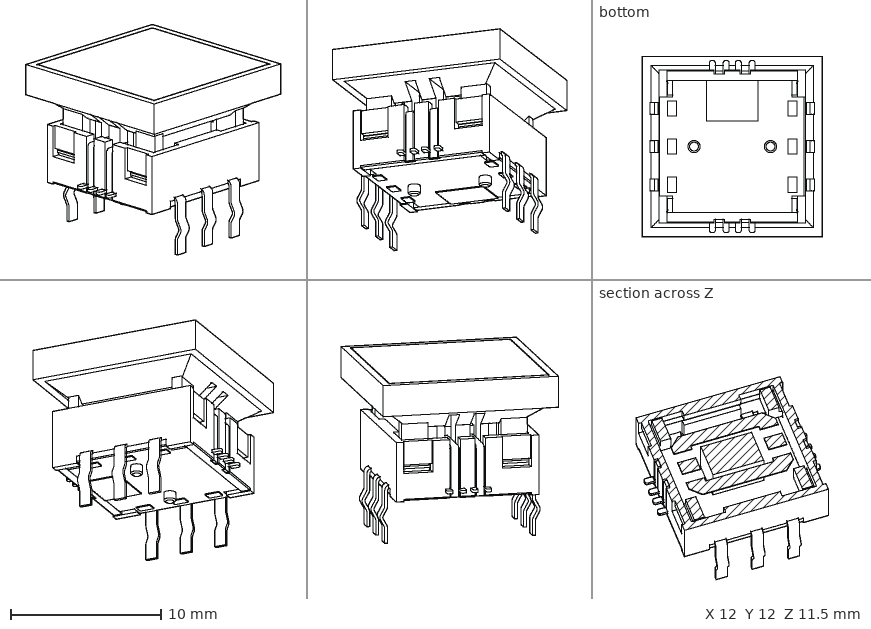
import cadquery as cq
import math


CAP_SIZE = 12.0
TOP_Z = 11.5
BEZEL_HEIGHT = 2.12
BEZEL_Z = TOP_Z - BEZEL_HEIGHT
BEZEL_RIM = 0.52
SKIRT_TOP_SIZE = 10.8
SKIRT_BOTTOM_X = 7.56
SKIRT_BOTTOM_Y = 7.44
SKIRT_Z = 7.99
LEG_OUTER_X = 4.3
LEG_OUTER_Y = 4.19
LEG_WIDTH = 1.8
LEG_THICKNESS = 0.75
HOOK_TIP_Y = 4.56
HOOK_NOSE_Y = 4.7
HOOK_NOSE_Z = 5.44
HOOK_NOSE_HEIGHT = 0.15
HOOK_TOP_Z = 5.82
STEM_X = 4.99
STEM_Y = 7.37
STEM_CORNER = 0.72
STEM_Z = 6.24
STEM_POCKET_X = 3.0
STEM_POCKET_Y = 4.8

LENS_GAP = 0.05
LENS_THICKNESS = 1.5
LENS_RECESS = CAP_SIZE - 2 * BEZEL_RIM
LENS_SIZE = LENS_RECESS - 2 * LENS_GAP

HOUSING_X = 9.77
HOUSING_Y = 10.18
HOUSING_Z = 3.28
HOUSING_TOP_Z = 7.35
CAVITY_X = 8.69
CAVITY_Y = 8.78
RIB_LENGTH = 4.01
RIB_SPACING = 7.92
FOOT_SPACING = 8.71
FOOT_HEIGHT = 0.07
BEVEL_RISE = 0.1
BEVEL_RUN = 0.06
WINDOW_INNER_X = 2.39
WINDOW_OUTER_X = 4.35
WINDOW_Z = 5.21
WINDOW_HEIGHT = 0.53
WINDOW_RECESS = 0.2

LEAD_X = 0.86
SLOT_WIDTH = 0.72
SLOT_TOP_Z = 8.99
LEAD_WIDTH = 0.53
LEAD_THICKNESS = 0.2
LEAD_INSET = 0.05
LEAD_BEND = 0.24
LEAD_END_Z = 3.38
LEDGE_Z = 6.68
LED_TOP_Z = 7.48
LED_LENGTH_Y = 3.6
LED_WIDTH_X = 2 * LEAD_X + SLOT_WIDTH

BASE_Z = HOUSING_Z + FOOT_HEIGHT
BASE_TOP_Z = 3.98
TONGUE_LENGTH = 6.6
TONGUE_TOP_Z = 3.79
POST_DIAMETER = 0.8
POST_X = 2.55
POST_Z = 2.72
POST_CHAMFER = 0.11
SIDE_PAD_LENGTH = 1.01
SIDE_PAD_INNER_X = 3.7
SIDE_PAD_OUTER_X = 4.32
FRONT_PAD_WIDTH = 3.41
FRONT_PAD_NEAR_Y = 1.7
PRONG_WIDTH = 0.4
PRONG_TIP_Y = 5.72
PRONG_RADIUS = 0.15

TERMINAL_PITCH = 2.55
TERMINAL_WIDTH = 0.8
TERMINAL_THICKNESS = 0.2
TERMINAL_OUTER_X = 5.16
TERMINAL_TOP_Z = BASE_TOP_Z
TERMINAL_BEND = 0.38
KINK_Z = 1.78
KINK_HALF_HEIGHT = 0.68
KINK_REACH = 0.38
KINK_BEND = 0.42


def block(x_min, x_max, y_min, y_max, z_min, z_max):
    """Box given by its limits along each axis."""
    size = (x_max - x_min, y_max - y_min, z_max - z_min)
    return cq.Workplane("XY").box(*size, centered=False).translate((x_min, y_min, z_min))


def centered_block(size_x, size_y, z_min, z_max):
    """Box centred on the Z axis."""
    return block(-size_x / 2, size_x / 2, -size_y / 2, size_y / 2, z_min, z_max)


def mirrored(shape, plane):
    """The shape together with its mirror image."""
    return shape.union(shape.mirror(plane))


def four_corners(shape):
    """The shape repeated by mirroring in X and in Y."""
    return mirrored(mirrored(shape, "YZ"), "XZ")


def bent_strip(plane, path, bend_radii, thickness, width):
    """Strip of constant thickness whose left-hand face follows `path`.

    Each inner corner of the path is rounded; its radius is that of the outer side of the bend.
    """
    headings = [math.atan2(b[1] - a[1], b[0] - a[0]) for a, b in zip(path, path[1:])]

    def offset(point, heading, distance):
        return (point[0] + distance * math.sin(heading), point[1] - distance * math.cos(heading))

    left = [path[0]]
    right = [offset(path[0], headings[0], thickness)]
    for corner, before, after, outer_radius in zip(path[1:-1], headings, headings[1:], bend_radii):
        turn = after - before
        side = math.copysign(1, turn)
        radius = outer_radius if side < 0 else outer_radius - thickness
        middle = (before + after) / 2
        reach = radius / math.cos(turn / 2)
        center = offset(corner, middle, -side * reach)
        for heading in (before, middle, after):
            left.append(offset(center, heading, side * radius))
            right.append(offset(center, heading, side * radius + thickness))
    left.append(path[-1])
    right.append(offset(path[-1], headings[-1], thickness))

    outline = cq.Workplane(plane).moveTo(*left[0])
    for i in range(1, len(left) - 1, 3):
        outline = outline.lineTo(*left[i]).threePointArc(left[i + 1], left[i + 2])
    outline = outline.lineTo(*left[-1])
    right.reverse()
    outline = outline.lineTo(*right[0])
    for i in range(1, len(right) - 1, 3):
        outline = outline.lineTo(*right[i]).threePointArc(right[i + 1], right[i + 2])
    return outline.lineTo(*right[-1]).close().extrude(width / 2, both=True)


def lead_slots(length_y, z_min, z_max):
    """Cutters for the two slots along Y in which the leads run."""
    slot = centered_block(SLOT_WIDTH, length_y, z_min, z_max).translate((LEAD_X, 0, 0))
    return mirrored(slot, "YZ")


def make_leg():
    """Snap-in leg at the (+X, +Y) corner, with a hook at its lower end."""
    return (
        cq.Workplane("YZ", origin=(LEG_OUTER_X, 0, 0)).moveTo(LEG_OUTER_Y - LEG_THICKNESS, WINDOW_Z)
        .lineTo(HOOK_TIP_Y, WINDOW_Z)
        .lineTo(HOOK_NOSE_Y, HOOK_NOSE_Z)
        .line(0, HOOK_NOSE_HEIGHT)
        .lineTo(LEG_OUTER_Y, HOOK_TOP_Z)
        .lineTo(LEG_OUTER_Y, BEZEL_Z)
        .line(-LEG_THICKNESS, 0)
        .close().extrude(-LEG_WIDTH)
    )


def make_cap():
    bezel = centered_block(CAP_SIZE, CAP_SIZE, BEZEL_Z, TOP_Z)
    skirt = (
        cq.Workplane("XY", origin=(0, 0, SKIRT_Z)).rect(SKIRT_BOTTOM_X, SKIRT_BOTTOM_Y)
        .workplane(offset=BEZEL_Z - SKIRT_Z).rect(SKIRT_TOP_SIZE, SKIRT_TOP_SIZE).loft(ruled=True)
    )
    stem = centered_block(STEM_X, STEM_Y, STEM_Z, SKIRT_Z).edges("|Z").chamfer(STEM_CORNER)
    cap = bezel.union(skirt).union(stem).union(four_corners(make_leg()))
    cap = cap.cut(centered_block(STEM_POCKET_X, STEM_POCKET_Y, STEM_Z, SLOT_TOP_Z))
    cap = cap.cut(lead_slots(CAP_SIZE, STEM_Z, SLOT_TOP_Z))
    return cap.cut(centered_block(LENS_RECESS, LENS_RECESS, TOP_Z - LENS_THICKNESS, TOP_Z))


def make_lens():
    return centered_block(LENS_SIZE, LENS_SIZE, TOP_Z - LENS_THICKNESS, TOP_Z)


def make_window_cutter():
    """Snap window through the wall at the (+X, +Y) corner, with the shallow recess above it."""
    outer_y = HOUSING_Y / 2
    window_top = WINDOW_Z + WINDOW_HEIGHT
    opening = block(WINDOW_INNER_X, WINDOW_OUTER_X, 0, outer_y, WINDOW_Z, window_top)
    recess_y = outer_y - WINDOW_RECESS
    recess = block(WINDOW_INNER_X, WINDOW_OUTER_X, recess_y, outer_y, window_top, HOUSING_TOP_Z)
    return opening.union(recess)


def make_foot_cutter():
    """Cutter below the +Y wall that leaves the corner feet and bevels the edge between them."""
    return (
        cq.Workplane("YZ").moveTo(CAVITY_Y / 2, HOUSING_Z)
        .lineTo(HOUSING_Y / 2, HOUSING_Z)
        .line(0, FOOT_HEIGHT + BEVEL_RISE)
        .line(-BEVEL_RUN, -BEVEL_RISE)
        .lineTo(CAVITY_Y / 2, BASE_Z)
        .close().extrude(FOOT_SPACING / 2, both=True)
    )


def make_housing(base, led):
    housing = centered_block(HOUSING_X, HOUSING_Y, HOUSING_Z, HOUSING_TOP_Z)
    cavity = centered_block(CAVITY_X, CAVITY_Y, HOUSING_Z, HOUSING_TOP_Z)
    rib = block(RIB_SPACING / 2, CAVITY_X / 2, -RIB_LENGTH / 2, RIB_LENGTH / 2, HOUSING_Z, HOUSING_TOP_Z)
    housing = housing.cut(cavity.cut(mirrored(rib, "YZ")))
    housing = housing.cut(four_corners(make_window_cutter()))

    housing = housing.cut(lead_slots(HOUSING_Y, LEDGE_Z, HOUSING_TOP_Z))
    floor_y = HOUSING_Y - 2 * (LEAD_INSET + LEAD_THICKNESS)
    grooves = lead_slots(HOUSING_Y, HOUSING_Z, LEDGE_Z).cut(lead_slots(floor_y, HOUSING_Z, LEDGE_Z))
    housing = housing.cut(grooves)

    housing = housing.cut(mirrored(make_foot_cutter(), "XZ"))
    notch = centered_block(HOUSING_X, TONGUE_LENGTH, HOUSING_Z, TONGUE_TOP_Z)
    housing = housing.cut(notch)

    return housing.cut(base).cut(led)


def make_prong(x_min):
    """One fork prong, running through the +Y wall to a rounded tip."""
    prong = block(x_min, x_min + PRONG_WIDTH, 0, PRONG_TIP_Y, TONGUE_TOP_Z, BASE_TOP_Z)
    return prong.faces(">Y").edges("|Z").fillet(PRONG_RADIUS)


def make_forks():
    """Two prongs beside each lead, at the front and at the back."""
    inner = make_prong(LEAD_X - LEAD_WIDTH / 2 - PRONG_WIDTH)
    outer = make_prong(LEAD_X + LEAD_WIDTH / 2)
    return four_corners(inner.union(outer))


def make_terminal(y):
    """Terminal on the +X side at the given Y."""
    path = [
        (0, TERMINAL_TOP_Z),
        (TERMINAL_OUTER_X, TERMINAL_TOP_Z),
        (TERMINAL_OUTER_X, KINK_Z + KINK_HALF_HEIGHT),
        (TERMINAL_OUTER_X + KINK_REACH, KINK_Z),
        (TERMINAL_OUTER_X, KINK_Z - KINK_HALF_HEIGHT),
        (TERMINAL_OUTER_X, 0),
    ]
    radii = [TERMINAL_BEND, KINK_BEND, KINK_BEND, KINK_BEND]
    strip = bent_strip("XZ", path, radii, TERMINAL_THICKNESS, TERMINAL_WIDTH)
    return strip.translate((0, y, 0))


def make_side_pad(y):
    """Low standoff pad under the base, inboard of the +X terminal at the given Y."""
    half = SIDE_PAD_LENGTH / 2
    return block(SIDE_PAD_INNER_X, SIDE_PAD_OUTER_X, y - half, y + half, HOUSING_Z, BASE_Z)


def make_front_pad():
    """Low standoff pad under the front part of the base."""
    half = FRONT_PAD_WIDTH / 2
    return block(-half, half, -CAVITY_Y / 2, -FRONT_PAD_NEAR_Y, HOUSING_Z, BASE_Z)


def bevel_lower_edge(part, side):
    """Bevel the bottom edge on one side, taller than it is deep."""
    return part.faces("<Z").edges(side).chamfer(BEVEL_RISE, BEVEL_RUN)


def make_base():
    """Base with its moulded-in metal parts."""
    plate = centered_block(RIB_SPACING, CAVITY_Y, BASE_Z, BASE_TOP_Z)
    tongues = centered_block(HOUSING_X, TONGUE_LENGTH, BASE_Z, TONGUE_TOP_Z)
    for side in ("<X", ">X"):
        tongues = bevel_lower_edge(tongues, side)
    posts = (
        cq.Workplane("XY", origin=(0, 0, POST_Z)).pushPoints([(-POST_X, 0), (POST_X, 0)])
        .circle(POST_DIAMETER / 2).extrude(BASE_Z - POST_Z).faces("<Z").chamfer(POST_CHAMFER)
    )
    base = plate.union(tongues).union(posts).union(make_forks()).union(make_front_pad())
    for row in (-1, 0, 1):
        y = row * TERMINAL_PITCH
        base = base.union(mirrored(make_terminal(y), "YZ"))
        base = base.union(mirrored(make_side_pad(y), "YZ"))
    return base


def make_lead():
    """Lead at +X running out over the +Y wall and down its groove."""
    outer_y = HOUSING_Y / 2 - LEAD_INSET
    top_z = LEDGE_Z + LEAD_THICKNESS
    path = [(0, top_z), (outer_y, top_z), (outer_y, LEAD_END_Z)]
    strip = bent_strip("YZ", path, [LEAD_BEND], LEAD_THICKNESS, LEAD_WIDTH)
    return strip.translate((LEAD_X, 0, 0))


def make_led():
    """LED body standing on the base, with its four leads."""
    body = centered_block(LED_WIDTH_X, LED_LENGTH_Y, BASE_TOP_Z, LED_TOP_Z)
    return body.union(four_corners(make_lead()))


cap = make_cap()
lens = make_lens()
base = make_base()
led = make_led()
housing = make_housing(base, led)

result = cq.Compound.makeCompound([cap.val(), lens.val(), housing.val(), base.val(), led.val()])